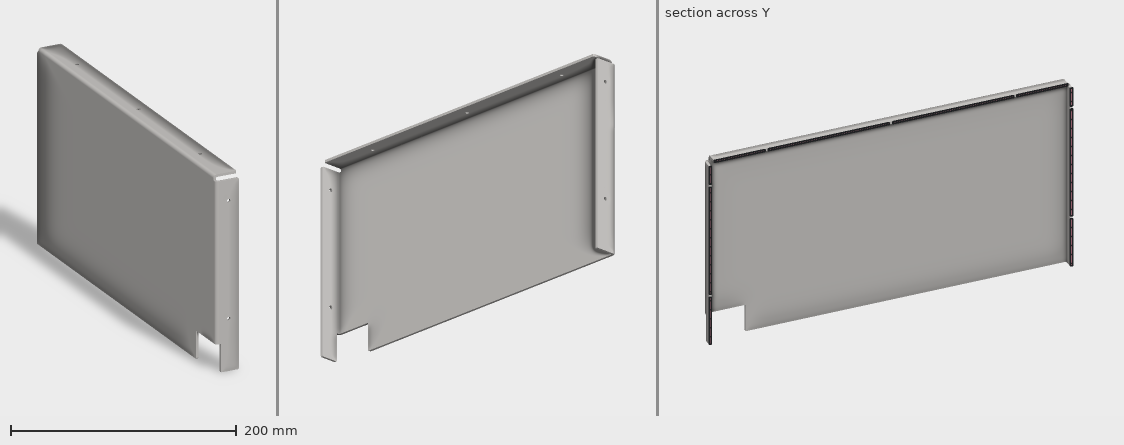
import cadquery as cq

width = 351.0
depth = 22.8
height = 187.5

sheet = 2.5
bend_radius = 3.0
inner_radius = bend_radius - sheet

relief_x = 4.5
relief_z = 5.3

notch_width = 39.0
notch_height = 27.0
notch_depth = 5.0

corner_radius = 1.0

hole_diameter = 3.5
hole_y = 12.5
top_hole_pitch = 120.0
side_hole_heights = (50.0, 162.0)


def flange_section(plane, leg, length):
    """Extrude an L section with a rounded bend at the plane origin."""
    section = (
        cq.Workplane(plane)
        .moveTo(0, depth)
        .lineTo(0, bend_radius)
        .radiusArc((bend_radius, 0), -bend_radius)
        .lineTo(leg, 0)
        .lineTo(leg, sheet)
        .lineTo(bend_radius, sheet)
        .radiusArc((sheet, bend_radius), inner_radius)
        .lineTo(sheet, depth)
        .close()
    )
    return section.extrude(length)


def box(x, y, z, corner):
    """Make a block with its lowest corner at the given point."""
    return cq.Workplane("XY").box(x, y, z, centered=False).translate(corner)


panel = box(
    width - 2 * bend_radius, sheet, height - bend_radius, (bend_radius, 0, 0)
)

side_height = height - relief_z
left_flange = flange_section("XY", relief_x, side_height)
left_flange = left_flange.edges("|X and >Y").fillet(corner_radius)
right_flange = left_flange.mirror("YZ").translate((width, 0, 0))

notch = box(notch_width, notch_depth, notch_height, (width - notch_width, 0, 0))
right_flange = right_flange.cut(notch)
right_flange = right_flange.edges("|X and <Z").edges("<Y").fillet(corner_radius)

top_plane = cq.Plane(origin=(relief_x, 0, height), xDir=(0, 0, -1), normal=(1, 0, 0))
top_flange = flange_section(top_plane, relief_z, width - 2 * relief_x)
top_flange = top_flange.edges("|Z and >Y").fillet(corner_radius)

corner_relief = box(relief_x, depth, relief_z, (0, 0, side_height))
opposite_relief = corner_relief.translate((width - relief_x, 0, 0))
panel = panel.cut(corner_relief).cut(opposite_relief).cut(notch)
panel = panel.edges("|Y and <Z").edges(">X").fillet(corner_radius)
body = panel.union(left_flange).union(right_flange).union(top_flange)

top_holes = (
    cq.Workplane("XY", origin=(width / 2, hole_y, height - bend_radius))
    .rarray(top_hole_pitch, 3.5, 3, 1)
    .circle(hole_diameter / 2)
    .extrude(2 * bend_radius)
)

side_holes = (
    cq.Workplane("YZ")
    .pushPoints([(hole_y, z) for z in side_hole_heights])
    .circle(hole_diameter / 2)
    .extrude(width)
)

result = body.cut(top_holes).cut(side_holes)